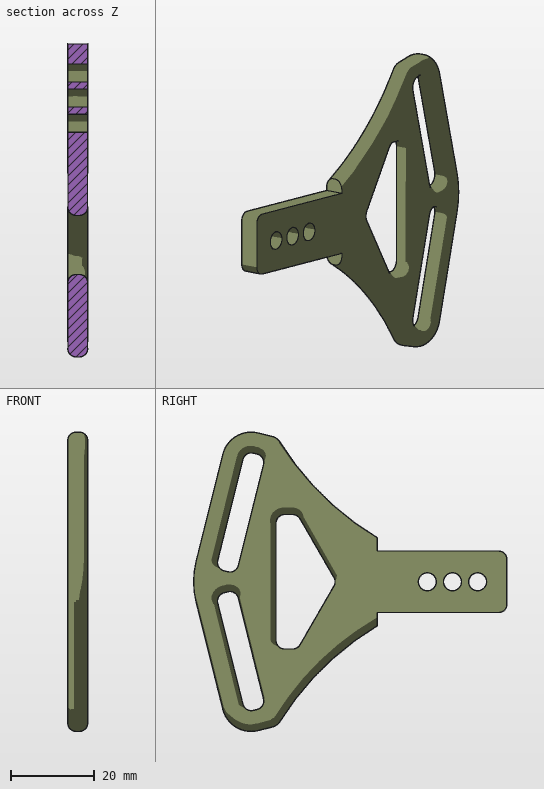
import cadquery as cq
import math


length = 74.75
thickness = 4.8
edge_radius = 2.0

tab_length = 30.9
tab_width = 14.7
tab_overlap = 4.0
tab_corner_radius = 2.0
hole_diameter = 4.23
hole_count = 3
hole_pitch = 6.0
first_hole_distance = 7.0

half_span = 71.41 / 2
shoulder_half_width = 10.5
flare_radius = 69.0
rim_tilt = math.radians(14)
nose_radius = 20.0
lobe_radius = 7.0
lobe_flat_length = 4.7
flare_corner_radius = 3.0

slot_width = 5.0
slot_length = 28.85
rim_width = 5.0
opening_corner_radius = 2.0

window_apex = 40.7
window_base = 55.05
window_half_height = 16.0
window_side_angle = math.radians(30)

along_rim = (-math.sin(rim_tilt), math.cos(rim_tilt))
out_of_rim = (math.cos(rim_tilt), math.sin(rim_tilt))

nose_center = (length - nose_radius, 0.0)
rim_apex = nose_center[0] + nose_radius / math.cos(rim_tilt)
lobe_height = half_span - lobe_radius
lobe_center = (
    rim_apex - lobe_height * math.tan(rim_tilt) - lobe_radius / math.cos(rim_tilt),
    lobe_height,
)


def shifted(point, direction, amount):
    """Move a (distance, height) point along a unit direction."""
    return (point[0] + amount * direction[0], point[1] + amount * direction[1])


def place(point, side=1):
    """Turn (distance, height) into (Y, Z); side -1 gives the mirrored half."""
    return (-point[0], side * point[1])


def extrude_plate(outline):
    """Extrude a YZ outline to the full thickness, centred on X = 0."""
    return outline.close().extrude(thickness / 2, both=True)


def make_tab():
    tab_reach = tab_length + tab_overlap
    return (
        cq.Workplane("YZ")
        .center(-tab_reach / 2, 0)
        .rect(tab_reach, tab_width)
        .extrude(thickness / 2, both=True)
        .edges("|X and >Y")
        .fillet(tab_corner_radius)
    )


def make_body():
    shoulder = (tab_length, shoulder_half_width)
    lobe_start = shifted(lobe_center, along_rim, lobe_radius)
    flare_corner = shifted(lobe_start, out_of_rim, -lobe_flat_length)
    middle_angle = rim_tilt + math.radians(45)
    lobe_diagonal = (math.cos(middle_angle), math.sin(middle_angle))
    lobe_middle = shifted(lobe_center, lobe_diagonal, lobe_radius)
    rim_start = shifted(lobe_center, out_of_rim, lobe_radius)
    rim_end = shifted(nose_center, out_of_rim, nose_radius)
    nose_tip = (length, 0.0)

    body = extrude_plate(
        cq.Workplane("YZ")
        .moveTo(*place(shoulder))
        .radiusArc(place(flare_corner), flare_radius)
        .lineTo(*place(lobe_start))
        .threePointArc(place(lobe_middle), place(rim_start))
        .lineTo(*place(rim_end))
        .threePointArc(place(nose_tip), place(rim_end, -1))
        .lineTo(*place(rim_start, -1))
        .threePointArc(place(lobe_middle, -1), place(lobe_start, -1))
        .lineTo(*place(flare_corner, -1))
        .radiusArc(place(shoulder, -1), flare_radius)
    )
    zone_margin = 0.1
    flare_corner_y = place(flare_corner)[0]
    corner_zone = cq.selectors.BoxSelector(
        (-thickness, flare_corner_y - zone_margin, -half_span),
        (thickness, flare_corner_y + zone_margin, half_span),
    )
    return body.edges("|X").edges(corner_zone).fillet(flare_corner_radius)


def make_window():
    top_left = window_apex + window_half_height * math.tan(window_side_angle)
    corners = [
        (window_apex, 0.0),
        (top_left, window_half_height),
        (window_base, window_half_height),
        (window_base, -window_half_height),
        (top_left, -window_half_height),
    ]
    window = extrude_plate(cq.Workplane("YZ").polyline([place(corner) for corner in corners]))
    return window.edges("|X").fillet(opening_corner_radius)


def make_slot(side):
    outer_edge = lobe_radius - rim_width
    outer_top = shifted(shifted(lobe_center, out_of_rim, outer_edge), along_rim, outer_edge)
    inner_top = shifted(outer_top, out_of_rim, -slot_width)
    inner_bottom = shifted(inner_top, along_rim, -slot_length)
    outer_bottom = shifted(outer_top, along_rim, -slot_length)
    corners = [outer_top, inner_top, inner_bottom, outer_bottom]
    slot = extrude_plate(cq.Workplane("YZ").polyline([place(corner, side) for corner in corners]))
    return slot.edges("|X").fillet(opening_corner_radius)


def make_holes():
    centers = [(-first_hole_distance - i * hole_pitch, 0) for i in range(hole_count)]
    return (
        cq.Workplane("YZ")
        .pushPoints(centers)
        .circle(hole_diameter / 2)
        .extrude(thickness / 2, both=True)
    )


body = make_body().cut(make_window()).cut(make_slot(1)).cut(make_slot(-1))
body = body.faces("<X or >X").edges("not >Y").fillet(edge_radius)

result = body.union(make_tab()).cut(make_holes())